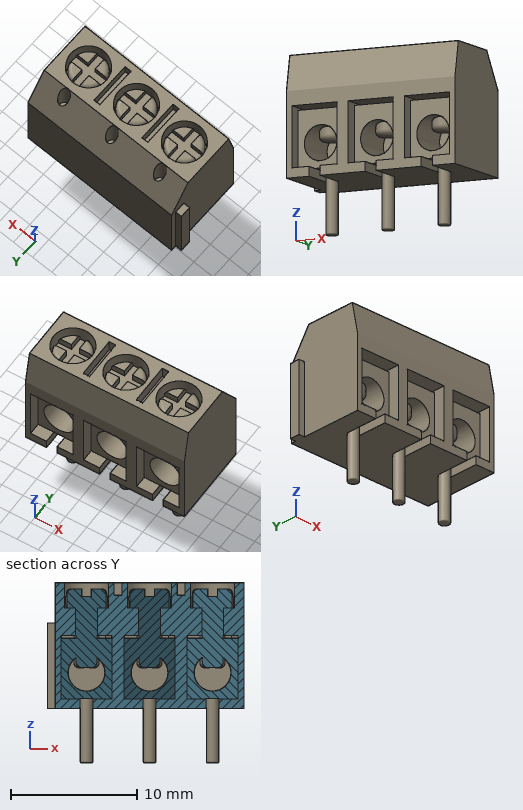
import cadquery as cq


pole_count = 3
pitch = 5.0
pole_xs = [(i - (pole_count - 1) / 2) * pitch for i in range(pole_count)]
gap_xs = [(left + right) / 2 for left, right in zip(pole_xs, pole_xs[1:])]

housing_length = pole_count * pitch
housing_depth = 7.6
housing_height = 10.0
shoulder_z = 7.0
front_y = -3.1
back_y = front_y + housing_depth
front_slope_run = 0.6
back_slope_run = 2.0

rib_length = 0.6
rib_width = 1.0
rib_height = 6.8
rib_back_inset = 0.5

clamp_setback = 1.1
pocket_width = 4.0
pocket_floor_z = 0.8
pocket_top_z = 5.8
headroom = 0.2
corner_cut_width = 0.5
corner_cut_depth = 0.8

clamp_front_y = front_y + clamp_setback
clamp_back_y = -clamp_front_y
clamp_depth = clamp_back_y - clamp_front_y
clamp_top_z = pocket_top_z - headroom
wire_hole_diameter = 2.9
wire_hole_z = 2.85

head_diameter = 3.3
head_recess = 0.5
head_height = 1.5
head_fillet = 0.4
drive_width = 0.75
drive_depth = 0.6
shank_diameter = 2.0
shank_tip_z = 3.23
shank_fillet = 0.4
head_top_z = housing_height - head_recess
head_bottom_z = head_top_z - head_height

pin_diameter = 1.0
pin_length = 4.3
pin_fillet = 0.1

screw_bore_diameter = 3.64
top_slot_width = 0.6
top_slot_length = 3.8
top_slot_depth = 1.0
test_hole_diameter = 1.0
test_hole_y = back_y - 1.5
test_hole_bottom_z = shoulder_z


def cylinder(x, y, bottom_z, top_z, diameter):
    """Upright cylinder between two heights."""
    base = cq.Workplane("XY", origin=(x, y, bottom_z))
    return base.circle(diameter / 2).extrude(top_z - bottom_z)


def box(x, front, bottom_z, width, depth, height):
    """Box centred on x, reaching back from its front face and up from its bottom face."""
    origin = (x, front, bottom_z)
    return cq.Workplane("XY", origin=origin).box(width, depth, height, centered=(True, False, False))


def housing_block():
    """Block with a sloped front and back above the shoulder, and a key rib on its left end."""
    profile = [
        (front_y, 0),
        (back_y, 0),
        (back_y, shoulder_z),
        (back_y - back_slope_run, housing_height),
        (front_y + front_slope_run, housing_height),
        (front_y, shoulder_z),
    ]
    block = cq.Workplane("YZ").polyline(profile).close().extrude(housing_length / 2, both=True)
    rib_x = -(housing_length + rib_length) / 2
    rib_front_y = back_y - rib_back_inset - rib_width
    return block.union(box(rib_x, rib_front_y, 0, rib_length, rib_width, rib_height))


def pocket_prism(x, front, top_z):
    """Prism on the pocket floor with the pocket's outline, whose back right corner is cut off."""
    left_x = x - pocket_width / 2
    right_x = x + pocket_width / 2
    outline = [
        (left_x, front),
        (right_x, front),
        (right_x, clamp_back_y - corner_cut_depth),
        (right_x - corner_cut_width, clamp_back_y),
        (left_x, clamp_back_y),
    ]
    floor = cq.Workplane("XY", origin=(0, 0, pocket_floor_z))
    return floor.polyline(outline).close().extrude(top_z - pocket_floor_z)


def pole_cavity(x):
    """Everything removed from the housing for one terminal."""
    pocket = pocket_prism(x, front_y, pocket_top_z)
    shank_hole = cylinder(x, 0, pocket_top_z, head_bottom_z, shank_diameter)
    screw_bore = cylinder(x, 0, head_bottom_z, housing_height, screw_bore_diameter)
    pin_hole = cylinder(x, 0, 0, pocket_floor_z, pin_diameter)
    pin_slot = box(x, front_y, 0, pin_diameter, -front_y, pocket_floor_z)
    test_hole = cylinder(x, test_hole_y, test_hole_bottom_z, housing_height, test_hole_diameter)
    cavity = pocket.union(shank_hole).union(screw_bore)
    return cavity.union(pin_hole).union(pin_slot).union(test_hole)


def make_housing():
    housing = housing_block()
    for x in pole_xs:
        housing = housing.cut(pole_cavity(x))
    for x in gap_xs:
        slot_bottom_z = housing_height - top_slot_depth
        slot = box(x, -top_slot_length / 2, slot_bottom_z, top_slot_width, top_slot_length, top_slot_depth)
        housing = housing.cut(slot)
    return housing


def make_screw(x):
    """Cross-recessed screw with a rounded head and a rounded tip."""
    head = cylinder(x, 0, head_bottom_z, head_top_z, head_diameter).faces(">Z").edges().fillet(head_fillet)
    drive_bottom_z = head_top_z - drive_depth
    for width, depth in ((head_diameter, drive_width), (drive_width, head_diameter)):
        head = head.cut(box(x, -depth / 2, drive_bottom_z, width, depth, drive_depth))
    shank = cylinder(x, 0, shank_tip_z, head_bottom_z, shank_diameter)
    return head.union(shank.faces("<Z").edges().fillet(shank_fillet))


def make_terminal(x):
    """Clamp with its wire hole, screw and solder pin as one solid."""
    clamp = pocket_prism(x, clamp_front_y, clamp_top_z)
    wire_hole = (
        cq.Workplane("XZ", origin=(x, clamp_back_y, wire_hole_z))
        .circle(wire_hole_diameter / 2)
        .extrude(clamp_depth)
    )
    pin = cylinder(x, 0, -pin_length, pocket_floor_z, pin_diameter).faces("<Z").edges().fillet(pin_fillet)
    return clamp.cut(wire_hole).union(make_screw(x)).union(pin)


housing = make_housing()
terminals = [make_terminal(x) for x in pole_xs]

result = cq.Compound.makeCompound([housing.val(), *[terminal.val() for terminal in terminals]])